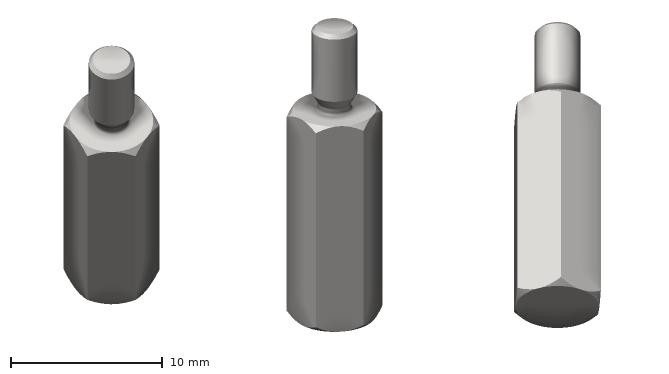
import cadquery as cq
import math

total_height = 21.0
hex_height = 15.0
hex_across_flats = 5.5
stud_diameter = 3.0
neck_diameter = 2.2
neck_fillet = 0.2
neck_top_gap = 0.5
edge_margin = 0.02
cone_half_angle = 30.0
tip_diameter = 2.45

hex_across_corners = hex_across_flats / math.cos(math.radians(30))
flat_radius = hex_across_flats / 2
corner_radius = hex_across_corners / 2
corner_chamfer = corner_radius - flat_radius
stud_radius = stud_diameter / 2
neck_radius = neck_diameter / 2
tip_radius = tip_diameter / 2
tip_chamfer = stud_radius - tip_radius
neck_top = hex_height + neck_top_gap
cone_height = (stud_radius - neck_radius) / math.tan(math.radians(cone_half_angle))
cone_top = neck_top + cone_height


def hex_body():
    """Hexagonal bar with corners on X, turned to 45 degree cones at both ends."""
    prism = cq.Workplane("XY").polygon(6, hex_across_corners).extrude(hex_height)
    turned_envelope = (
        cq.Workplane("XY")
        .circle(corner_radius)
        .extrude(hex_height)
        .faces("<Z or >Z")
        .chamfer(corner_chamfer)
    )
    return prism.intersect(turned_envelope)


def stud():
    """Revolved stud: filleted neck, widening cone, cylinder and chamfered tip."""
    fillet_offset = neck_fillet * (1 - math.sin(math.radians(45)))
    profile = (
        cq.Workplane("XZ")
        .moveTo(0, hex_height)
        .lineTo(neck_radius + neck_fillet, hex_height)
        .threePointArc(
            (neck_radius + fillet_offset, hex_height + fillet_offset),
            (neck_radius, hex_height + neck_fillet),
        )
        .lineTo(neck_radius, neck_top)
        .lineTo(stud_radius, cone_top)
        .lineTo(stud_radius, total_height - tip_chamfer)
        .lineTo(tip_radius, total_height)
        .lineTo(0, total_height)
        .close()
    )
    turned_stud = profile.revolve(360, (0, 0, 0), (0, 1, 0))
    neck_to_cone_edge = cq.selectors.BoxSelector(
        (-stud_diameter, -stud_diameter, neck_top - edge_margin),
        (stud_diameter, stud_diameter, neck_top + edge_margin),
    )
    return turned_stud.edges("%CIRCLE").edges(neck_to_cone_edge).fillet(neck_fillet)


result = hex_body().union(stud())